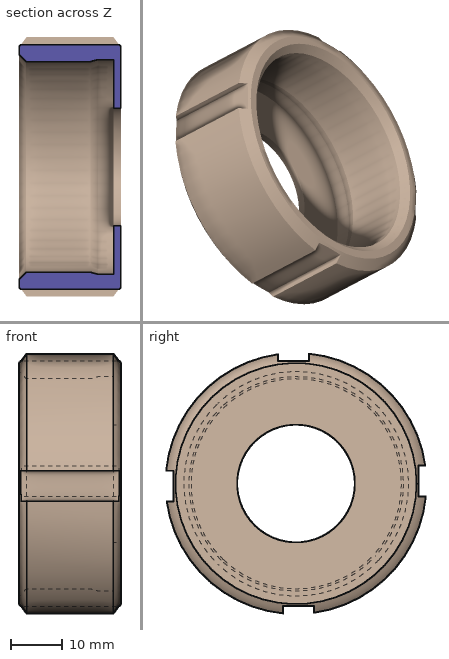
import cadquery as cq

length = 20.0
outer_radius = 25.58
hole_radius = 11.5

edge_chamfer_length = 1.5
end_face_radius = 23.6

bore_radius = 20.6
mouth_radius = 22.0
mouth_chamfer_length = mouth_radius - bore_radius
relief_radius = 21.0
relief_taper_length = 1.5
relief_width = 3.0
web_thickness = 1.5
bore_depth = length - web_thickness

slot_count = 4
slot_width = 6.0
slot_floor_radius = 24.0
slot_side_offset = -0.5


def revolve_about_x(outline):
    """Turn an (X, radius) outline into a solid of revolution about the X axis."""
    return cq.Workplane("XY").polyline(outline).close().revolve(360, (0, 0, 0), (1, 0, 0))


def ring_body():
    relief_start = bore_depth - relief_width
    return revolve_about_x([
        (0, mouth_radius),
        (0, end_face_radius),
        (edge_chamfer_length, outer_radius),
        (length - edge_chamfer_length, outer_radius),
        (length, end_face_radius),
        (length, hole_radius),
        (bore_depth, hole_radius),
        (bore_depth, relief_radius),
        (relief_start, relief_radius),
        (relief_start - relief_taper_length, bore_radius),
        (mouth_chamfer_length, bore_radius),
    ])


def spanner_slot(angle):
    """Full-length slot cutter at the top (+Z), turned about X by the given angle."""
    cutter_height = outer_radius
    return (
        cq.Workplane("XY")
        .box(length, slot_width, cutter_height, centered=(False, True, False))
        .translate((0, slot_side_offset, slot_floor_radius))
        .rotate((0, 0, 0), (1, 0, 0), angle)
    )


result = ring_body()
for index in range(slot_count):
    result = result.cut(spanner_slot(index * 360 / slot_count))